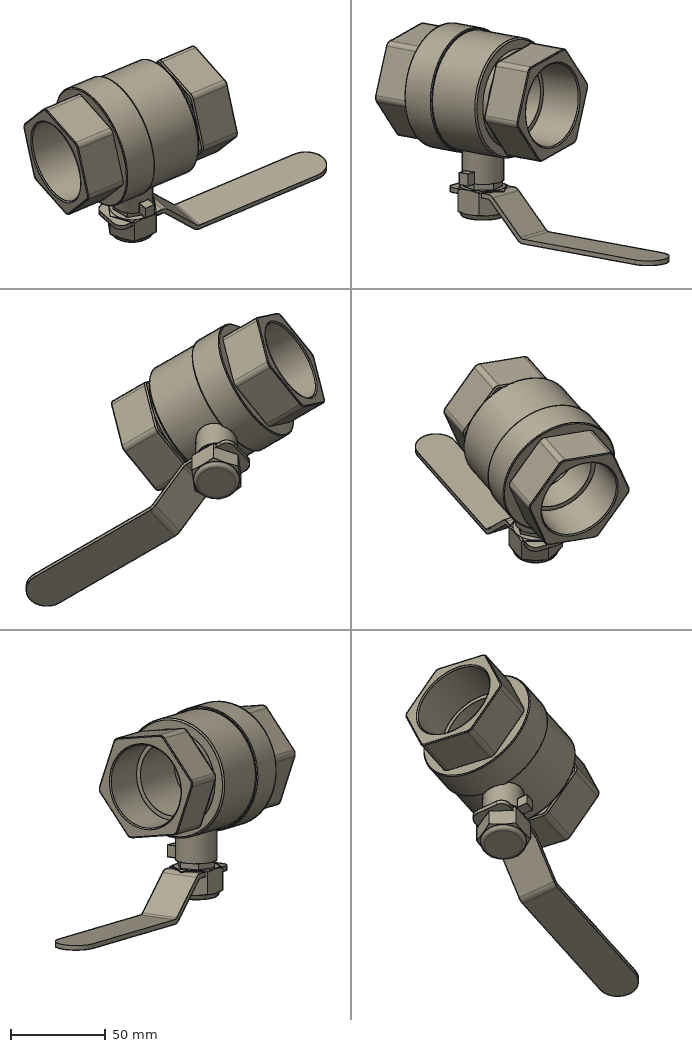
import cadquery as cq
import math


total_length = 172.2
total_height = 108.7

bore_dia = 40.0
socket_dia = 45.0
socket_depth = 24.3
socket_chamfer = 0.7

hex_flats = 53.7
hex_corner_radius = 3.6
hex_chamfer = 0.5
hex_turn = 10.0

cap_front_y = -49.3
flange_front_y = -26.5
flange_back_y = -8.5
flange_dia = 67.0
flange_chamfer = 0.5

barrel_dia = 64.5
barrel_back_y = 21.0
barrel_chamfer = 0.9
groove_dia = 53.0
rear_hex_front_y = 24.5
rear_hex_inner_chamfer = 0.9
body_back_y = 47.4

neck_dia = 22.0
neck_top_z = -24.1
neck_bottom_z = -47.5
lug_left_x = 10.7
lug_right_x = 16.5
lug_width = 5.9
lug_height = 6.5

stem_hex_dia = 20.8
stem_hex_turn = 11.5

nut_flats = 24.6
nut_top_z = -51.0
nut_hex_bottom_z = -64.4
nut_face_dia = 24.3
nut_chamfer_angle = 20.0
dome_height = 2.8
dome_radius = 2.0

plate_thickness = 2.5
handle_width = 22.0
tongue_front_y = -16.2
tongue_top_z = -51.7
tongue_corner_radius = 5.2
upper_bend_y = 13.0
bend_angle = 45.0
bend_inner_radius = 2.5
bend_outer_radius = bend_inner_radius + plate_thickness
grip_bottom_z = flange_dia / 2 - total_height
grip_back_y = cap_front_y + total_length


def across_corners(flats):
    return flats / math.cos(math.radians(30))


def cylinder_y(diameter, start_y, end_y):
    """Cylinder on the flow axis."""
    return cq.Workplane("XZ", origin=(0, start_y, 0)).circle(diameter / 2).extrude(start_y - end_y)


def cylinder_z(diameter, bottom_z, top_z):
    """Cylinder on the stem axis."""
    return cq.Workplane("XY", origin=(0, 0, bottom_z)).circle(diameter / 2).extrude(top_z - bottom_z)


def hexagon_z(corner_dia, bottom_z, top_z, turn):
    """Hexagonal prism on the stem axis, with a corner at the angle turn from +X."""
    prism = cq.Workplane("XY", origin=(0, 0, bottom_z)).polygon(6, corner_dia).extrude(top_z - bottom_z)
    return prism.rotate((0, 0, 0), (0, 0, 1), turn)


def wrench_end(start_y, end_y, outer_face):
    """Hexagonal end on the flow axis, with rounded corners and a chamfered outer face."""
    prism = (
        cq.Workplane("XZ", origin=(0, start_y, 0))
        .polygon(6, across_corners(hex_flats))
        .extrude(start_y - end_y)
        .edges("|Y")
        .fillet(hex_corner_radius)
        .faces(outer_face)
        .chamfer(hex_chamfer)
    )
    return prism.rotate((0, 0, 0), (0, 1, 0), hex_turn)


def pipe_socket(mouth_y, inward):
    """Cutter for a socket with a chamfered mouth; inward is +1 or -1 along Y."""
    bottom_y = mouth_y + inward * socket_depth
    socket = cylinder_y(socket_dia, min(mouth_y, bottom_y), max(mouth_y, bottom_y))
    radius = socket_dia / 2
    mouth = (
        cq.Workplane("XY")
        .moveTo(0, mouth_y)
        .lineTo(radius + socket_chamfer, mouth_y)
        .lineTo(radius, mouth_y + inward * socket_chamfer)
        .lineTo(0, mouth_y + inward * socket_chamfer)
        .close()
        .revolve(360, (0, 0, 0), (0, 1, 0))
    )
    return socket.union(mouth)


def make_neck():
    neck = cylinder_z(neck_dia, neck_bottom_z, neck_top_z)
    lug = (
        cq.Workplane("XY", origin=((lug_left_x + lug_right_x) / 2, 0, neck_bottom_z))
        .rect(lug_right_x - lug_left_x, lug_width)
        .extrude(lug_height)
    )
    return neck.union(lug)


def make_cap(neck):
    flange = cylinder_y(flange_dia, flange_front_y, flange_back_y).edges().chamfer(flange_chamfer)
    cap = flange.union(wrench_end(cap_front_y, flange_front_y, "<Y"))
    cap = cap.cut(cylinder_y(bore_dia, cap_front_y, flange_back_y))
    return cap.cut(pipe_socket(cap_front_y, 1)).cut(neck)


def make_body(neck):
    barrel = cylinder_y(barrel_dia, flange_back_y, barrel_back_y).faces(">Y").chamfer(barrel_chamfer)
    groove = cylinder_y(groove_dia, barrel_back_y, rear_hex_front_y)
    rear_hex = wrench_end(rear_hex_front_y, body_back_y, ">Y").faces("<Y").chamfer(rear_hex_inner_chamfer)
    body = barrel.union(groove).union(rear_hex)
    body = body.cut(cylinder_y(bore_dia, flange_back_y, body_back_y))
    return body.cut(pipe_socket(body_back_y, -1)).cut(neck)


def make_stem():
    return hexagon_z(stem_hex_dia, nut_top_z, neck_bottom_z, stem_hex_turn)


def make_handle():
    tongue_bottom_z = tongue_top_z - plate_thickness
    grip_top_z = grip_bottom_z + plate_thickness
    slope_run = (tongue_bottom_z - grip_bottom_z) / math.tan(math.radians(bend_angle))
    lower_bend_y = upper_bend_y + slope_run
    top_shift = plate_thickness * math.tan(math.radians(bend_angle / 2))

    upper_inner = (upper_bend_y, tongue_bottom_z)
    upper_outer = (upper_bend_y + top_shift, tongue_top_z)
    lower_inner = (lower_bend_y + top_shift, grip_top_z)
    lower_outer = (lower_bend_y, grip_bottom_z)
    strip = (
        cq.Workplane("YZ")
        .moveTo(tongue_front_y, tongue_top_z)
        .lineTo(*upper_outer)
        .lineTo(*lower_inner)
        .lineTo(grip_back_y, grip_top_z)
        .lineTo(grip_back_y, grip_bottom_z)
        .lineTo(*lower_outer)
        .lineTo(*upper_inner)
        .lineTo(tongue_front_y, tongue_bottom_z)
        .close()
        .extrude(handle_width / 2, both=True)
    )
    bends = (
        (upper_inner, bend_inner_radius),
        (upper_outer, bend_outer_radius),
        (lower_inner, bend_inner_radius),
        (lower_outer, bend_outer_radius),
    )
    for (bend_y, bend_z), radius in bends:
        strip = strip.edges(cq.NearestToPointSelector((0, bend_y, bend_z))).fillet(radius)
    strip = strip.edges("|Z and <Y").fillet(tongue_corner_radius)

    end_radius = handle_width / 2
    end_square = (
        cq.Workplane("XY", origin=(0, grip_back_y - end_radius / 2, grip_bottom_z))
        .rect(handle_width, end_radius)
        .extrude(plate_thickness)
    )
    end_round = (
        cq.Workplane("XY", origin=(0, grip_back_y - end_radius, grip_bottom_z))
        .circle(end_radius)
        .extrude(plate_thickness)
    )
    return strip.cut(end_square.cut(end_round))


def make_nut(handle):
    """Hexagon nut with chamfered corners and a domed underside, slotted for the handle tongue."""
    corner_dia = across_corners(nut_flats)
    corner_radius = corner_dia / 2
    face_radius = nut_face_dia / 2
    drop = (corner_radius - face_radius) * math.tan(math.radians(nut_chamfer_angle))
    chamfer_envelope = (
        cq.Workplane("XZ")
        .moveTo(0, nut_top_z)
        .lineTo(face_radius, nut_top_z)
        .lineTo(corner_radius, nut_top_z - drop)
        .lineTo(corner_radius, nut_hex_bottom_z + drop)
        .lineTo(face_radius, nut_hex_bottom_z)
        .lineTo(0, nut_hex_bottom_z)
        .close()
        .revolve()
    )
    hexagon = hexagon_z(corner_dia, nut_hex_bottom_z, nut_top_z, 30)
    dome = cylinder_z(nut_face_dia, nut_hex_bottom_z - dome_height, nut_hex_bottom_z)
    dome = dome.faces("<Z").edges().fillet(dome_radius)
    return hexagon.intersect(chamfer_envelope).union(dome).cut(handle)


neck = make_neck()
cap = make_cap(neck)
body = make_body(neck)
stem = make_stem()
handle = make_handle()
nut = make_nut(handle)

parts = [body, cap, neck, stem, handle, nut]
result = cq.Compound.makeCompound([part.solids().val() for part in parts])